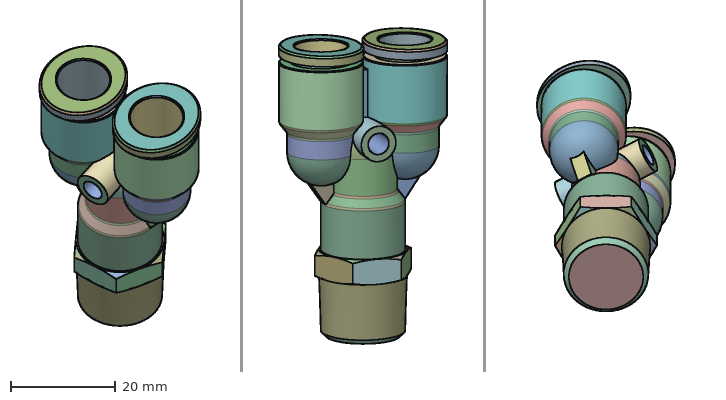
import cadquery as cq
import math

total_height = 58.0
branch_offset = 8.5
barrel_radius = 8.15
neck_radius = 6.6
shoulder_height = 2.0
shoulder_fillet = 0.8

thread_height = 12.0
thread_top_radius = 8.5
thread_chamfer = 1.0

hex_height = 5.0
hex_across_flats = 17.0
hex_corner_drop = 0.5

stem_shoulder_base = 26.85
stem_dome_center = 36.4

branch_dome_center = 37.0
branch_shoulder_base = 40.9
barrel_top = 54.8
barrel_top_chamfer = 0.2

collar_length_x = 16.1
collar_length_y = 18.6
collar_height = 2.0
collar_chamfer = 0.4
sleeve_radius = 5.9
bore_radius = 5.1
bore_chamfer = 0.25
bore_depth = 18.0

boss_length = 18.7
boss_radius = 3.5
boss_hole_radius = 2.1
boss_height = 40.0

web_thickness = 3.0
web_top = 52.9
web_flare_height = 4.4
web_flare_width = 3.05


def revolve_profile(profile):
    """Full revolution of a closed (r, z) profile about the Z axis."""
    return cq.Workplane("XZ").polyline(profile).close().revolve(360, (0, 0, 0), (0, 1, 0))


def rounded_shoulder(profile):
    """Revolve an (r, z) profile with one conical step and round both ends of the step."""
    solid = revolve_profile(profile)
    step_edges = solid.edges("%CIRCLE").edges("(not <Z) and (not >Z)")
    return step_edges.fillet(shoulder_fillet)


def ball(radius, height):
    """Sphere centred on the Z axis at the given height."""
    return cq.Workplane("XY").sphere(radius).translate((0, 0, height))


def make_thread():
    """Plain tapered envelope of the pipe thread, chamfered at its lower end."""
    profile = [
        (0, 0),
        (barrel_radius - thread_chamfer, 0),
        (barrel_radius, thread_chamfer),
        (thread_top_radius, thread_height),
        (0, thread_height),
    ]
    return revolve_profile(profile)


def make_hexagon():
    """Hexagon with corners on the X axis, both ends chamfered by a cone."""
    flat_radius = hex_across_flats / 2
    corner_radius = flat_radius / math.cos(math.pi / 6)
    prism = cq.Workplane("XY").polygon(6, 2 * corner_radius).extrude(hex_height)
    envelope = (
        cq.Workplane("XY")
        .circle(corner_radius)
        .extrude(hex_height)
        .faces("<Z or >Z")
        .chamfer(hex_corner_drop, corner_radius - flat_radius)
    )
    return prism.intersect(envelope).translate((0, 0, thread_height))


def make_stem():
    """Stem with a conical shoulder and a domed top."""
    base = thread_height + hex_height
    profile = [
        (0, base),
        (barrel_radius, base),
        (barrel_radius, stem_shoulder_base),
        (neck_radius, stem_shoulder_base + shoulder_height),
        (neck_radius, stem_dome_center),
        (0, stem_dome_center),
    ]
    return rounded_shoulder(profile).union(ball(neck_radius, stem_dome_center))


def make_branch():
    """Socket barrel with a conical shoulder and a domed bottom, on the Z axis."""
    profile = [
        (0, branch_dome_center),
        (neck_radius, branch_dome_center),
        (neck_radius, branch_shoulder_base),
        (barrel_radius, branch_shoulder_base + shoulder_height),
        (barrel_radius, barrel_top),
        (0, barrel_top),
    ]
    barrel = rounded_shoulder(profile).faces(">Z").edges().chamfer(barrel_top_chamfer)
    return barrel.union(ball(neck_radius, branch_dome_center))


def make_sleeve():
    """Release sleeve: a round tube below an oval collar, on the Z axis."""
    collar_base = total_height - collar_height
    tube = (
        cq.Workplane("XY")
        .workplane(offset=barrel_top)
        .circle(sleeve_radius)
        .extrude(collar_base - barrel_top)
    )
    collar = (
        cq.Workplane("XY")
        .workplane(offset=collar_base)
        .ellipse(collar_length_x / 2, collar_length_y / 2)
        .extrude(collar_height)
        .faces(">Z")
        .edges()
        .chamfer(collar_chamfer)
    )
    return tube.union(collar)


def make_bore():
    """Tube socket, on the Z axis, with a chamfered mouth."""
    mouth_radius = bore_radius + bore_chamfer
    floor = total_height - bore_depth
    profile = [
        (0, floor),
        (bore_radius, floor),
        (bore_radius, total_height - bore_chamfer),
        (mouth_radius, total_height),
        (0, total_height),
    ]
    return revolve_profile(profile)


def cross_cylinder(radius):
    """Cylinder along Y at the height of the cross boss."""
    return (
        cq.Workplane("XZ")
        .center(0, boss_height)
        .circle(radius)
        .extrude(boss_length / 2, both=True)
    )


def make_web():
    """Flat web that joins the branches and flares from the stem out to their domes."""
    flare_top = stem_shoulder_base + web_flare_height
    flare_reach = barrel_radius + web_flare_width
    outline = [
        (barrel_radius, stem_shoulder_base),
        (flare_reach, flare_top),
        (branch_offset, branch_dome_center),
        (branch_offset, web_top),
        (-branch_offset, web_top),
        (-branch_offset, branch_dome_center),
        (-flare_reach, flare_top),
        (-barrel_radius, stem_shoulder_base),
    ]
    return cq.Workplane("XZ").polyline(outline).close().extrude(web_thickness / 2, both=True)


result = make_thread().union(make_hexagon()).union(make_stem())
result = result.union(make_web()).union(cross_cylinder(boss_radius))
branch_with_sleeve = make_branch().union(make_sleeve())
bore = make_bore()
for branch_x in (-branch_offset, branch_offset):
    result = result.union(branch_with_sleeve.translate((branch_x, 0, 0)))
    result = result.cut(bore.translate((branch_x, 0, 0)))
result = result.cut(cross_cylinder(boss_hole_radius))